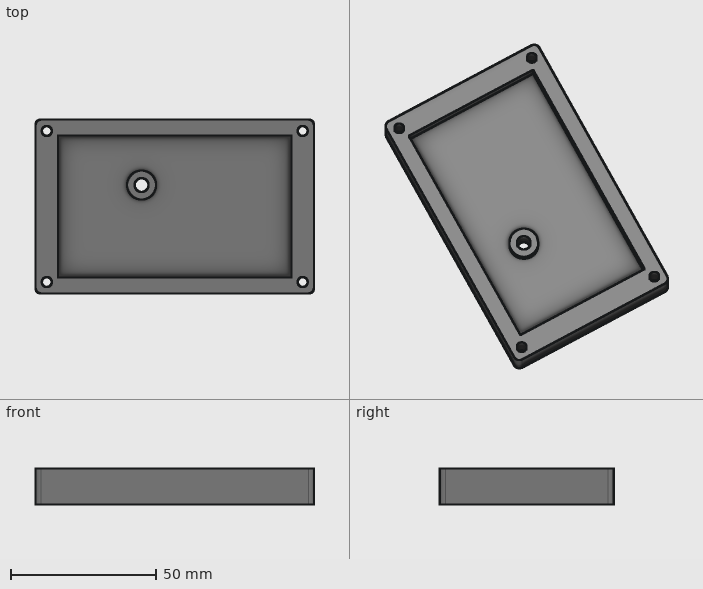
import cadquery as cq

length = 96.0
width = 60.0
height = 12.5
corner_radius = 2.0

pocket_length = 80.3
pocket_width = 48.8
pocket_depth = 6.0
floor_z = height - pocket_depth

screw_diameter = 3.4
screw_spacing_x = 88.1
screw_spacing_y = 52.0

boss_x = -11.4
boss_y = 7.4
boss_diameter = 10.0
boss_bore = 4.7
boss_height = 3.0


def make_body():
    """Plate with rounded vertical corners, resting on Z = 0."""
    block = cq.Workplane("XY").box(length, width, height, centered=(True, True, False))
    return block.edges("|Z").fillet(corner_radius)


def make_pocket():
    """Sharp-cornered block that hollows out the body."""
    return (
        cq.Workplane("XY", origin=(0, 0, floor_z))
        .rect(pocket_length, pocket_width)
        .extrude(pocket_depth)
    )


def make_screw_holes():
    """Four cylinders running the full height of the rim."""
    return (
        cq.Workplane("XY")
        .rect(screw_spacing_x, screw_spacing_y, forConstruction=True)
        .vertices()
        .circle(screw_diameter / 2)
        .extrude(height)
    )


def make_boss():
    """Solid boss, before boring."""
    return (
        cq.Workplane("XY", origin=(boss_x, boss_y, floor_z))
        .circle(boss_diameter / 2)
        .extrude(boss_height)
    )


def make_boss_bore():
    """Cylinder through the boss and the floor below it."""
    return (
        cq.Workplane("XY", origin=(boss_x, boss_y, 0))
        .circle(boss_bore / 2)
        .extrude(floor_z + boss_height)
    )


result = make_body().cut(make_pocket()).cut(make_screw_holes())
result = result.union(make_boss()).cut(make_boss_bore())